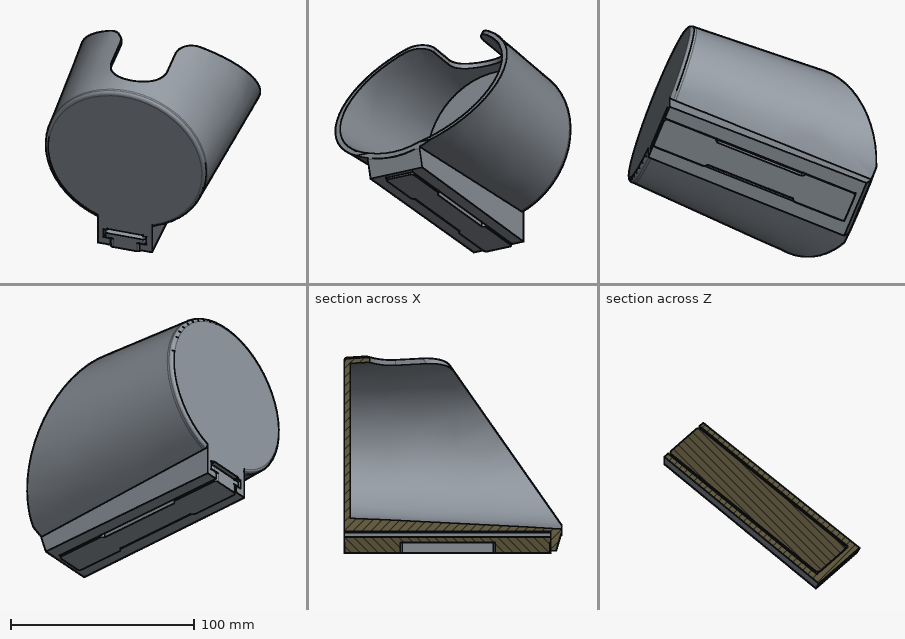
import cadquery as cq
import math


length = 118.8
base_radius = 45.7
mouth_radius = 51.5
wall = 2.9
base_height = 3.3
base_fillet = 2.0
mouth_angle = 55.0
mouth_bottom_z = -46.1

opening_half_width = 15.8
opening_bottom_y = 12.1
opening_corner_radius = 10.0

foot_front_half_width = 15.5
foot_rear_half_width = 16.2
foot_bottom_z = -60.1
foot_rear_top_z = -49.9
foot_rear_bottom_y = 115.7

clip_length = 112.6
neck_half_width = 8.4
head_half_width = 11.5
clip_corner = 1.8
clip_projection = 1.2
head_bottom_z = -55.6
head_top_z = -52.4
waist_start_y = 29.9
waist_end_y = 83.2
waist_depth = 1.7

slot_half_width = 12.2
slot_top_z = -50.3
relief_half_width = 10.2
relief_top_z = -49.4


def make_cup_blank():
    """Solid cup: a short cylindrical base with a rounded rim, then a cone to the mouth."""
    return (
        cq.Workplane("XY")
        .lineTo(base_radius, 0)
        .lineTo(base_radius, base_height)
        .lineTo(mouth_radius, length)
        .lineTo(0, length)
        .close()
        .revolve(360, (0, 0, 0), (0, 1, 0))
        .faces("<Y")
        .edges()
        .fillet(base_fillet)
    )


def make_cavity():
    """Tapered inside of the cup, parallel to its outside."""
    return (
        cq.Workplane("XY")
        .moveTo(0, base_height)
        .lineTo(base_radius - wall, base_height)
        .lineTo(mouth_radius - wall, length)
        .lineTo(0, length)
        .close()
        .revolve(360, (0, 0, 0), (0, 1, 0))
    )


def box(half_width, depth, bottom_z, top_z):
    """Block centred on X that runs from Y = 0 to depth."""
    height = top_z - bottom_z
    return (
        cq.Workplane("XY")
        .box(2 * half_width, depth, height, centered=(True, False, False))
        .translate((0, 0, bottom_z))
    )


def make_foot():
    """Block that widens towards the rear and has a slanted rear face."""
    plan = (
        cq.Workplane("XY", origin=(0, 0, foot_bottom_z))
        .moveTo(-foot_front_half_width, 0)
        .lineTo(foot_front_half_width, 0)
        .lineTo(foot_rear_half_width, length)
        .lineTo(-foot_rear_half_width, length)
        .close()
        .extrude(-foot_bottom_z)
    )
    side = (
        cq.Workplane("YZ")
        .moveTo(0, 0)
        .lineTo(0, foot_bottom_z)
        .lineTo(foot_rear_bottom_y, foot_bottom_z)
        .lineTo(length, foot_rear_top_z)
        .lineTo(length, 0)
        .close()
        .extrude(foot_rear_half_width, both=True)
    )
    return plan.intersect(side)


def make_mouth_cutter():
    """Everything above the slanted mouth plane."""
    top_z = 2 * mouth_radius
    top_y = length - (top_z - mouth_bottom_z) / math.tan(math.radians(mouth_angle))
    return (
        cq.Workplane("YZ")
        .moveTo(length, mouth_bottom_z)
        .lineTo(top_y, top_z)
        .lineTo(length, top_z)
        .close()
        .extrude(2 * mouth_radius, both=True)
    )


def make_opening_cutter():
    """Round-ended opening that runs from near the floor out through the mouth."""
    round_y = opening_bottom_y + opening_half_width
    return (
        cq.Workplane("XY")
        .moveTo(-opening_half_width, round_y)
        .threePointArc((0, opening_bottom_y), (opening_half_width, round_y))
        .lineTo(opening_half_width, length)
        .lineTo(-opening_half_width, length)
        .close()
        .extrude(mouth_radius)
    )


def make_corner_cutter():
    """Channel along the mouth plane that rounds the two upper corners of the opening."""
    slant = math.radians(mouth_angle)
    axis_y = length + mouth_bottom_z / math.tan(slant)
    mouth_plane = cq.Plane(
        origin=(0, axis_y, 0),
        xDir=(1, 0, 0),
        normal=(0, -math.cos(slant), math.sin(slant)),
    )
    radius = opening_corner_radius
    arc_offset = radius * (1 - math.sqrt(0.5))
    outer_x = opening_half_width + radius
    mid_x = opening_half_width + arc_offset
    return (
        cq.Workplane(mouth_plane)
        .moveTo(-opening_half_width, -radius)
        .lineTo(opening_half_width, -radius)
        .threePointArc((mid_x, -arc_offset), (outer_x, 0))
        .lineTo(-outer_x, 0)
        .threePointArc((-mid_x, -arc_offset), (-opening_half_width, -radius))
        .close()
        .extrude(2 * mouth_radius)
    )


def make_clip_slot():
    """Blind T-slot, open at the front and below, with a shallow relief above the head."""
    neck = box(neck_half_width, clip_length, foot_bottom_z, head_bottom_z)
    head = box(slot_half_width, clip_length, head_bottom_z, slot_top_z)
    relief = box(relief_half_width, clip_length, slot_top_z, relief_top_z)
    return neck.union(head).union(relief)


def make_holder():
    """Tapered cup with its slotted mounting foot."""
    return (
        make_cup_blank()
        .union(make_foot())
        .cut(make_cavity())
        .cut(make_mouth_cutter())
        .cut(make_opening_cutter())
        .cut(make_corner_cutter())
        .cut(make_clip_slot())
    )


def make_waist_cutter(side):
    """Relief with 45 degree ends in one side of the clip neck; side is -1 or 1."""
    outer_x = side * neck_half_width
    inner_x = side * (neck_half_width - waist_depth)
    return (
        cq.Workplane("XY", origin=(0, 0, foot_bottom_z - clip_projection))
        .moveTo(outer_x, waist_start_y)
        .lineTo(inner_x, waist_start_y + waist_depth)
        .lineTo(inner_x, waist_end_y - waist_depth)
        .lineTo(outer_x, waist_end_y)
        .close()
        .extrude(head_bottom_z - foot_bottom_z + clip_projection)
    )


def make_clip():
    """T-shaped sliding clip with rounded vertical corners and a waisted neck."""
    neck_bottom_z = foot_bottom_z - clip_projection
    neck = box(neck_half_width, clip_length, neck_bottom_z, head_bottom_z).edges("|Z").fillet(clip_corner)
    head = box(head_half_width, clip_length, head_bottom_z, head_top_z).edges("|Z").fillet(clip_corner)
    clip = neck.union(head)
    for side in (-1, 1):
        clip = clip.cut(make_waist_cutter(side))
    return clip


holder = make_holder()
clip = make_clip()

result = cq.Compound.makeCompound([holder.val(), clip.val()])